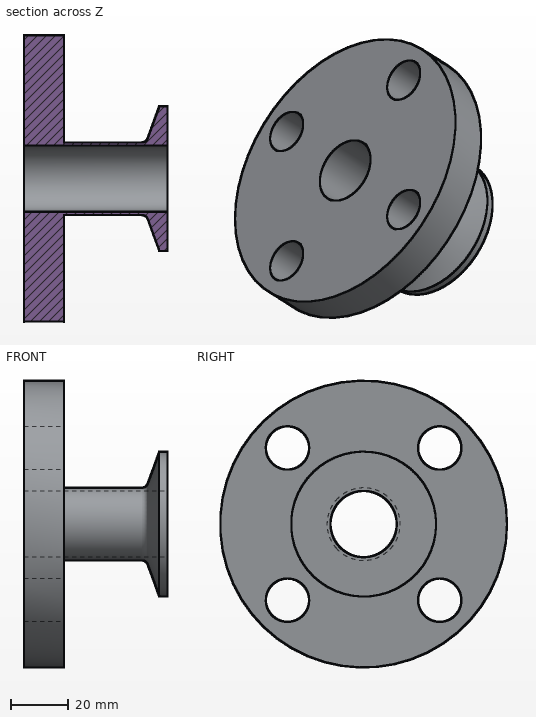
import cadquery as cq
import math

total_length = 50.0

flange_diameter = 100.0
flange_thickness = 14.0
bolt_circle_diameter = 75.0
bolt_hole_diameter = 15.0
bolt_count = 4
first_bolt_angle = 45.0

bore_diameter = 23.0
tube_diameter = 25.4
ferrule_diameter = 50.5
rim_thickness = 2.9
cone_angle = 20.0
neck_fillet = 2.0

flange_radius = flange_diameter / 2
tube_radius = tube_diameter / 2
ferrule_radius = ferrule_diameter / 2
rim_start = total_length - rim_thickness
cone_length = (ferrule_radius - tube_radius) * math.tan(math.radians(cone_angle))
cone_start = rim_start - cone_length


def make_flange():
    """Round flange with its outer face on X = 0."""
    flange = cq.Workplane("YZ").circle(flange_radius).extrude(flange_thickness)
    bolt_holes = (
        cq.Workplane("YZ")
        .polarArray(bolt_circle_diameter / 2, first_bolt_angle, 360, bolt_count)
        .circle(bolt_hole_diameter / 2)
        .extrude(flange_thickness)
    )
    return flange.cut(bolt_holes)


def make_ferrule():
    """Tube flaring through a cone into the clamp rim, revolved about X."""
    ferrule = (
        cq.Workplane("XY")
        .polyline([
            (0, 0),
            (0, tube_radius),
            (cone_start, tube_radius),
            (rim_start, ferrule_radius),
            (total_length, ferrule_radius),
            (total_length, 0),
        ])
        .close()
        .revolve(360, (0, 0, 0), (1, 0, 0))
    )
    corner_box = cq.selectors.BoxSelector(
        (cone_start - neck_fillet, -flange_radius, -flange_radius),
        (cone_start + neck_fillet, flange_radius, flange_radius),
        boundingbox=True,
    )
    return ferrule.edges(corner_box).edges("%CIRCLE").fillet(neck_fillet)


bore = cq.Workplane("YZ").circle(bore_diameter / 2).extrude(total_length)

result = make_flange().union(make_ferrule()).cut(bore)